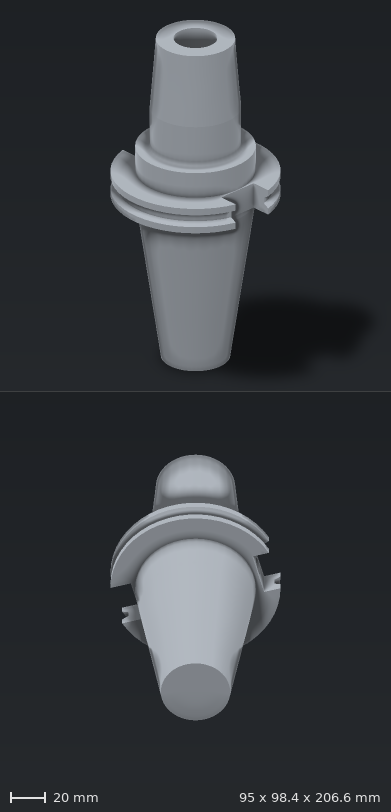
import cadquery as cq
import math

gauge_diameter = 69.85
taper_length = 101.6
taper_ratio = 7 / 24
gauge_band_height = 3.175

flange_diameter = 98.425
flange_thickness = 15.875
groove_floor_diameter = 91.3
groove_floor_width = 3.7
groove_flank_angle = 30

projection = 105
shoulder_diameter = gauge_diameter
shoulder_height = 35
neck_diameter = 53
neck_fillet = 3
nose_diameter = 46
nose_taper_angle = 4.5

bore_diameter = 25.4
bore_depth = 50

slot_width = 25.9
left_slot_floor = 37.6
right_slot_floor = 35.3

dimple_diameter = 10
dimple_depth = 5

flange_bottom = taper_length + gauge_band_height
flange_top = flange_bottom + flange_thickness
flange_middle = (flange_bottom + flange_top) / 2
shoulder_top = taper_length + shoulder_height
total_height = taper_length + projection
taper_end_radius = (gauge_diameter - taper_length * taper_ratio) / 2
gauge_radius = gauge_diameter / 2
flange_radius = flange_diameter / 2
shoulder_radius = shoulder_diameter / 2
neck_radius = neck_diameter / 2
nose_radius = nose_diameter / 2
nose_length = (neck_radius - nose_radius) / math.tan(math.radians(nose_taper_angle))
nose_bottom = total_height - nose_length


def holder_body():
    """Revolve the half profile of the taper, flange, shoulder and nose."""
    fillet_mid_offset = neck_fillet * (1 - math.sqrt(0.5))
    profile = (
        cq.Workplane("XZ")
        .lineTo(taper_end_radius, 0)
        .lineTo(gauge_radius, taper_length)
        .lineTo(gauge_radius, flange_bottom)
        .lineTo(flange_radius, flange_bottom)
        .lineTo(flange_radius, flange_top)
        .lineTo(shoulder_radius, flange_top)
        .lineTo(shoulder_radius, shoulder_top)
        .lineTo(neck_radius + neck_fillet, shoulder_top)
        .threePointArc(
            (neck_radius + fillet_mid_offset, shoulder_top + fillet_mid_offset),
            (neck_radius, shoulder_top + neck_fillet),
        )
        .lineTo(neck_radius, nose_bottom)
        .lineTo(nose_radius, total_height)
        .lineTo(0, total_height)
        .close()
    )
    return profile.revolve(360, (0, 0, 0), (0, 1, 0))


def flange_groove():
    """Ring that cuts the V-groove around the middle of the flange."""
    floor_radius = groove_floor_diameter / 2
    floor_half = groove_floor_width / 2
    flank_rise = (flange_radius - floor_radius) * math.tan(math.radians(groove_flank_angle))
    mouth_half = floor_half + flank_rise
    profile = (
        cq.Workplane("XZ")
        .moveTo(floor_radius, flange_middle - floor_half)
        .lineTo(flange_radius, flange_middle - mouth_half)
        .lineTo(flange_radius, flange_middle + mouth_half)
        .lineTo(floor_radius, flange_middle + floor_half)
        .close()
    )
    return profile.revolve(360, (0, 0, 0), (0, 1, 0))


def drive_slot(side, floor_distance):
    """Key slot through the flange thickness; side is -1 for -X and +1 for +X."""
    depth = flange_radius - floor_distance
    center_x = side * (floor_distance + depth / 2)
    slot = cq.Workplane("XY").box(depth, slot_width, flange_thickness)
    return slot.translate((center_x, 0, flange_middle))


def tool_bore():
    """Blind bore down from the nose face."""
    return (
        cq.Workplane("XY", origin=(0, 0, total_height))
        .circle(bore_diameter / 2)
        .extrude(-bore_depth)
    )


def slot_dimple():
    """Blind hole running inward along +X from the left slot floor."""
    return (
        cq.Workplane("YZ", origin=(-left_slot_floor, 0, flange_middle))
        .circle(dimple_diameter / 2)
        .extrude(dimple_depth)
    )


result = (
    holder_body()
    .cut(flange_groove())
    .cut(drive_slot(-1, left_slot_floor))
    .cut(drive_slot(1, right_slot_floor))
    .cut(tool_bore())
    .cut(slot_dimple())
)